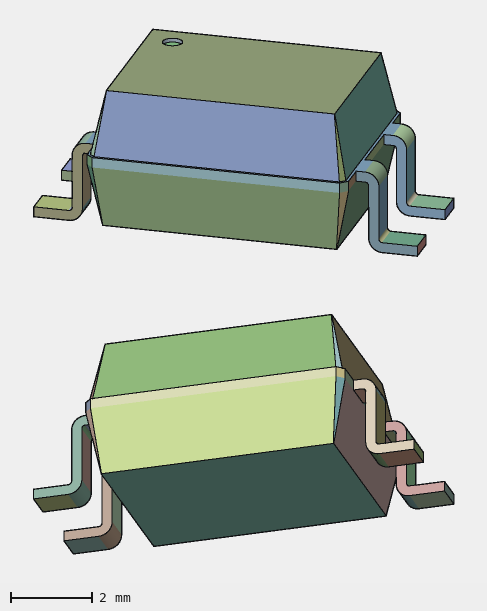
import cadquery as cq
import math

lead_span = 9.8
body_length = 6.68
body_width = 5.1
overall_height = 3.73
standoff = 0.18

lead_thickness = 0.265
draft_angle = 11.9
band_corner_chamfer = 0.18
upper_step = 0.075
upper_corner_chamfer = 0.13
top_corner_chamfer = 0.01
bottom_corner_chamfer = 0.01

half_height = (overall_height - standoff - lead_thickness) / 2
draft_inset = half_height * math.tan(math.radians(draft_angle))
band_bottom = standoff + half_height
band_top = band_bottom + lead_thickness

dimple_diameter = 0.5
dimple_depth = 0.1
dimple_corner_offset = 0.7

lead_width = 0.8
lead_pitch = 2.54
leg_setback = 0.98
bend_inner_radius = 0.085
bend_outer_radius = bend_inner_radius + lead_thickness
lead_embed = 0.1


def chamfered_outline(inset, chamfer):
    """Corner points of the body rectangle moved inward by inset, with its corners cut off."""
    x = body_length / 2 - inset
    y = body_width / 2 - inset
    return [
        (x, y - chamfer),
        (x - chamfer, y),
        (chamfer - x, y),
        (-x, y - chamfer),
        (-x, chamfer - y),
        (chamfer - x, -y),
        (x - chamfer, -y),
        (x, chamfer - y),
    ]


def body_layer(z_low, low_outline, z_high, high_outline):
    """Solid between two outlines lying at different heights."""
    return (
        cq.Workplane("XY", origin=(0, 0, z_low))
        .polyline(low_outline)
        .close()
        .workplane(offset=z_high - z_low)
        .polyline(high_outline)
        .close()
        .loft(ruled=True, combine=True)
    )


def make_body():
    """Lower half, parting band and slightly smaller upper half."""
    band_outline = chamfered_outline(0, band_corner_chamfer)
    bottom_outline = chamfered_outline(draft_inset, bottom_corner_chamfer)
    upper_outline = chamfered_outline(upper_step, upper_corner_chamfer)
    top_outline = chamfered_outline(upper_step + draft_inset, top_corner_chamfer)

    lower_half = body_layer(standoff, bottom_outline, band_bottom, band_outline)
    band = body_layer(band_bottom, band_outline, band_top, band_outline)
    upper_half = body_layer(band_top, upper_outline, overall_height, top_outline)
    return lower_half.union(band).union(upper_half)


def make_dimple():
    """Shallow round pocket near the (-X, +Y) corner of the top face."""
    corner_inset = upper_step + draft_inset + dimple_corner_offset
    return (
        cq.Workplane("XY", origin=(0, 0, overall_height - dimple_depth))
        .center(corner_inset - body_length / 2, body_width / 2 - corner_inset)
        .circle(dimple_diameter / 2)
        .extrude(dimple_depth)
    )


def make_left_lead(y_center):
    """Bent strip on the -X side: foot, leg and shoulder running into the parting band."""
    toe_x = -lead_span / 2
    leg_outer_x = toe_x + leg_setback
    leg_inner_x = leg_outer_x + lead_thickness
    shoulder_end_x = lead_embed - body_length / 2
    foot_bend_x = leg_outer_x - bend_inner_radius
    foot_bend_z = bend_outer_radius
    shoulder_bend_x = leg_inner_x + bend_inner_radius
    shoulder_bend_z = band_top - bend_outer_radius
    diagonal = math.sqrt(0.5)
    inner_mid = bend_inner_radius * diagonal
    outer_mid = bend_outer_radius * diagonal

    return (
        cq.Workplane("XZ", origin=(0, y_center + lead_width / 2, 0))
        .moveTo(toe_x, 0)
        .lineTo(foot_bend_x, 0)
        .threePointArc((foot_bend_x + outer_mid, foot_bend_z - outer_mid), (leg_inner_x, foot_bend_z))
        .lineTo(leg_inner_x, shoulder_bend_z)
        .threePointArc(
            (shoulder_bend_x - inner_mid, shoulder_bend_z + inner_mid),
            (shoulder_bend_x, band_bottom),
        )
        .lineTo(shoulder_end_x, band_bottom)
        .lineTo(shoulder_end_x, band_top)
        .lineTo(shoulder_bend_x, band_top)
        .threePointArc(
            (shoulder_bend_x - outer_mid, shoulder_bend_z + outer_mid),
            (leg_outer_x, shoulder_bend_z),
        )
        .lineTo(leg_outer_x, foot_bend_z)
        .threePointArc((foot_bend_x + inner_mid, foot_bend_z - inner_mid), (foot_bend_x, lead_thickness))
        .lineTo(toe_x, lead_thickness)
        .close()
        .extrude(lead_width)
    )


result = make_body().cut(make_dimple())
for lead_y in (-lead_pitch / 2, lead_pitch / 2):
    left_lead = make_left_lead(lead_y)
    result = result.union(left_lead).union(left_lead.mirror("YZ"))